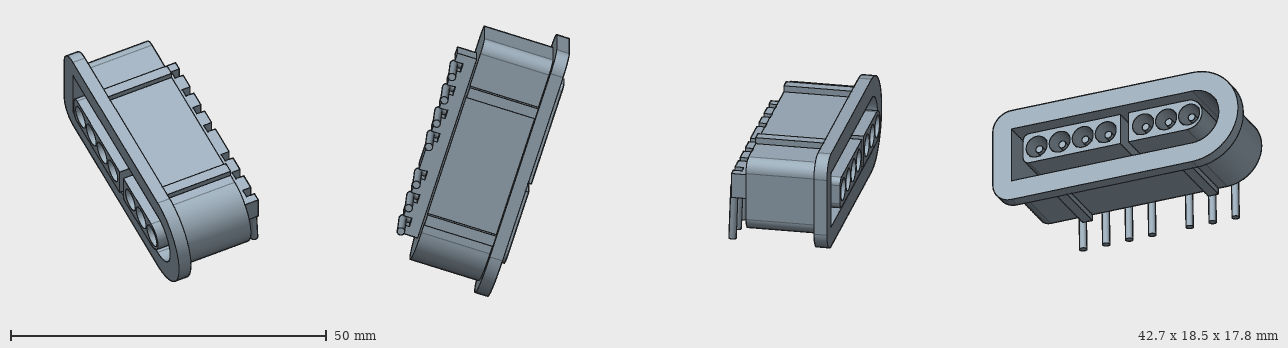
import cadquery as cq
import math


FLANGE_LENGTH = 42.65
FLANGE_HEIGHT = 15.9
FLANGE_THICKNESS = 2.1
FLANGE_CORNER_RADIUS = 3.25
FLANGE_END_RADIUS = FLANGE_HEIGHT / 2
ROUND_END_X = FLANGE_LENGTH - FLANGE_END_RADIUS

FLANGE_OVERHANG = 1.96
SHELL_DEPTH = 11.4
SHELL_CORNER_RADIUS = 2.05
SHELL_END_RADIUS = FLANGE_END_RADIUS - FLANGE_OVERHANG
SHELL_BACK_Y = FLANGE_THICKNESS + SHELL_DEPTH

RIB_SPANS = [(9.55, 11.25), (31.4, 33.15)]
RIB_HEIGHT = 1.03

CAVITY_WALL_X = 3.25
CAVITY_END_RADIUS = 4.63
BACK_WALL = 1.4
CAVITY_FLOOR_Y = SHELL_BACK_Y - BACK_WALL

CONTACT_PITCH = 4.0
FIRST_CONTACT_X = 8.08
LEFT_CONTACT_COUNT = 4
RIGHT_CONTACT_COUNT = 3
GROUP_STEP = 6.5
LEFT_CONTACTS = [FIRST_CONTACT_X + i * CONTACT_PITCH for i in range(LEFT_CONTACT_COUNT)]
RIGHT_CONTACTS = [LEFT_CONTACTS[-1] + GROUP_STEP + i * CONTACT_PITCH for i in range(RIGHT_CONTACT_COUNT)]
CONTACTS = LEFT_CONTACTS + RIGHT_CONTACTS

BLOCK_HEIGHT = 5.2
BLOCK_PROTRUSION = 0.95
BLOCK_FRONT_Y = -BLOCK_PROTRUSION
BLOCK_SIDE_MARGIN = 2.55
LEFT_BLOCK_MARGIN = 2.35
LEFT_BLOCK_FILLET = 1.05
RIGHT_BLOCK_END_X = 36.85
SOCKET_DIAMETER = 3.65

REAR_BLOCK_DEPTH = 3.2
REAR_BLOCK_HEIGHT = 4.1
REAR_BLOCK_MARGIN = 2.1
REAR_BLOCK_BACK_Y = SHELL_BACK_Y + REAR_BLOCK_DEPTH
PIN_SLOT_SIZE = 1.4
PIN_SLOT_Y = REAR_BLOCK_BACK_Y - PIN_SLOT_SIZE

PIN_DIAMETER = 1.2
PIN_TIP_RECESS = 1.0
PIN_TIP_Y = BLOCK_FRONT_Y + PIN_TIP_RECESS
PIN_BEND_RADIUS = 1.35
PIN_BEND_ANGLE = 88.0
PIN_DROP = 9.87


def extrude_y(sketch, y_start, y_end):
    """Make a prism along +Y between two Y positions from a profile function in X and Z."""
    return sketch(cq.Workplane("XZ", origin=(0, y_start, 0))).extrude(y_start - y_end)


def box_between(x_start, x_end, y_start, y_end, z_start, z_end):
    """Make a box from its limits on each axis."""
    return cq.Workplane("XY").box(
        x_end - x_start, y_end - y_start, z_end - z_start, centered=False
    ).translate((x_start, y_start, z_start))


def d_shape(flat_x, center_x, radius, y_start, y_end):
    """Make a prism with a flat end at low X and a full round end at high X."""
    return extrude_y(
        lambda plane: plane.moveTo(flat_x, -radius)
        .lineTo(center_x, -radius)
        .threePointArc((center_x + radius, 0), (center_x, radius))
        .lineTo(flat_x, radius)
        .close(),
        y_start,
        y_end,
    )


def cylinders(positions, diameter, y_start, y_end):
    """Make one cylinder along Y at each contact position."""
    return extrude_y(
        lambda plane: plane.pushPoints([(x, 0) for x in positions]).circle(diameter / 2),
        y_start,
        y_end,
    )


def make_shell():
    """Flange and hollow shell with guide ribs."""
    flange = d_shape(0, ROUND_END_X, FLANGE_END_RADIUS, 0, FLANGE_THICKNESS)
    flange = flange.edges("|Y and <X").fillet(FLANGE_CORNER_RADIUS)

    shell = d_shape(FLANGE_OVERHANG, ROUND_END_X, SHELL_END_RADIUS, FLANGE_THICKNESS, SHELL_BACK_Y)
    shell = shell.edges("|Y and <X").fillet(SHELL_CORNER_RADIUS)

    rib_top = SHELL_END_RADIUS + RIB_HEIGHT
    for x_start, x_end in RIB_SPANS:
        shell = shell.union(
            box_between(x_start, x_end, FLANGE_THICKNESS, SHELL_BACK_Y, -rib_top, rib_top)
        )

    cavity = d_shape(CAVITY_WALL_X, ROUND_END_X, CAVITY_END_RADIUS, 0, CAVITY_FLOOR_Y)
    return flange.union(shell).cut(cavity)


def make_contact_blocks():
    """Two blocks on the cavity floor, with an open socket around each contact."""
    half_height = BLOCK_HEIGHT / 2
    left = box_between(
        LEFT_CONTACTS[0] - LEFT_BLOCK_MARGIN,
        LEFT_CONTACTS[-1] + BLOCK_SIDE_MARGIN,
        BLOCK_FRONT_Y,
        CAVITY_FLOOR_Y,
        -half_height,
        half_height,
    )
    left = left.edges("|Y and <X").fillet(LEFT_BLOCK_FILLET)
    right = d_shape(
        RIGHT_CONTACTS[0] - BLOCK_SIDE_MARGIN,
        RIGHT_BLOCK_END_X - half_height,
        half_height,
        BLOCK_FRONT_Y,
        CAVITY_FLOOR_Y,
    )
    sockets = cylinders(CONTACTS, SOCKET_DIAMETER, BLOCK_FRONT_Y, CAVITY_FLOOR_Y)
    return left.cut(sockets), right.cut(sockets)


def make_rear_block():
    """Solder-side block with a vertical slot for each bent pin."""
    half_height = REAR_BLOCK_HEIGHT / 2
    block = box_between(
        CONTACTS[0] - REAR_BLOCK_MARGIN,
        CONTACTS[-1] + REAR_BLOCK_MARGIN,
        SHELL_BACK_Y,
        REAR_BLOCK_BACK_Y,
        -half_height,
        half_height,
    )
    for x in CONTACTS:
        block = block.cut(
            box_between(
                x - PIN_SLOT_SIZE / 2,
                x + PIN_SLOT_SIZE / 2,
                PIN_SLOT_Y,
                REAR_BLOCK_BACK_Y,
                -half_height,
                half_height,
            )
        )
    return block


def make_housing():
    """Complete housing, with a through bore for each pin."""
    housing = make_shell()
    for block in make_contact_blocks():
        housing = housing.union(block)
    housing = housing.union(make_rear_block())
    return housing.cut(cylinders(CONTACTS, PIN_DIAMETER, CAVITY_FLOOR_Y, PIN_SLOT_Y))


def make_pin(x):
    """Round pin: straight contact, bend inside the slot, then a slightly splayed tail."""
    def bend_point(angle):
        y = PIN_SLOT_Y + PIN_BEND_RADIUS * math.sin(angle)
        z = PIN_BEND_RADIUS * (math.cos(angle) - 1)
        return y, z

    bend = math.radians(PIN_BEND_ANGLE)
    bend_end_y, bend_end_z = bend_point(bend)
    end_dip = PIN_DIAMETER / 2 * math.cos(bend)
    tail_length = (PIN_DROP + bend_end_z - end_dip) / math.sin(bend)
    tail_end = (bend_end_y + tail_length * math.cos(bend), bend_end_z - tail_length * math.sin(bend))

    path = (
        cq.Workplane("YZ", origin=(x, 0, 0))
        .moveTo(PIN_TIP_Y, 0)
        .lineTo(PIN_SLOT_Y, 0)
        .threePointArc(bend_point(bend / 2), (bend_end_y, bend_end_z))
        .lineTo(*tail_end)
    )
    return cq.Workplane("XZ", origin=(x, PIN_TIP_Y, 0)).circle(PIN_DIAMETER / 2).sweep(path)


housing = make_housing()
pins = [make_pin(x) for x in CONTACTS]

result = cq.Compound.makeCompound([housing.solids().val(), *[pin.val() for pin in pins]])